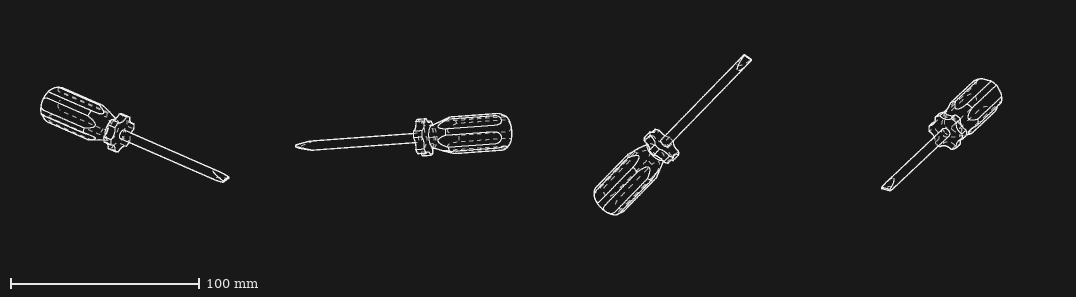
import cadquery as cq
import math

total_length = 120.0

handle_diameter = 19.9
handle_radius = handle_diameter / 2
butt_face_radius = handle_radius / 2
butt_round = handle_radius - butt_face_radius
handle_length = 50.0
collar_thickness = 4.8
taper_start = 31.7
neck_radius = 6.0
neck_fillet = 2.4
collar_start = handle_length - collar_thickness
neck_end = collar_start - neck_fillet

flute_count = 6
flute_radius = 5.0
flute_axis_distance = 13.1

shaft_radius = 2.5
tip_length = 8.5
tip_thickness = 1.0


def make_handle_blank():
    """Revolved handle: rounded butt, straight grip, tapered neck and collar."""
    diagonal = math.sqrt(0.5)
    butt_mid = (butt_round * (1 - diagonal), butt_face_radius + butt_round * diagonal)
    fillet_mid = (
        neck_end + neck_fillet * diagonal,
        neck_radius + neck_fillet * (1 - diagonal),
    )
    profile = (
        cq.Workplane("XY")
        .lineTo(0, butt_face_radius)
        .threePointArc(butt_mid, (butt_round, handle_radius))
        .lineTo(taper_start, handle_radius)
        .lineTo(neck_end, neck_radius)
        .threePointArc(fillet_mid, (collar_start, neck_radius + neck_fillet))
        .lineTo(collar_start, handle_radius)
        .lineTo(handle_length, handle_radius)
        .lineTo(handle_length, 0)
        .close()
    )
    return profile.revolve(360, (0, 0, 0), (1, 0, 0))


def make_handle():
    """Handle with lengthwise flutes, the first on top, running through grip and collar."""
    handle = make_handle_blank()
    flute = (
        cq.Workplane("YZ")
        .center(0, flute_axis_distance)
        .circle(flute_radius)
        .extrude(handle_length)
    )
    for index in range(flute_count):
        angle = index * 360 / flute_count
        handle = handle.cut(flute.rotate((0, 0, 0), (1, 0, 0), angle))
    return handle


def make_blade():
    """Round shaft butting against the collar, with two flats narrowing to a flat tip."""
    shaft = (
        cq.Workplane("YZ", origin=(handle_length, 0, 0))
        .circle(shaft_radius)
        .extrude(total_length - handle_length)
    )
    tip_start = total_length - tip_length
    wedge_outline = [
        (handle_length, -shaft_radius),
        (tip_start, -shaft_radius),
        (total_length, -tip_thickness / 2),
        (total_length, tip_thickness / 2),
        (tip_start, shaft_radius),
        (handle_length, shaft_radius),
    ]
    envelope = (
        cq.Workplane("XZ")
        .polyline(wedge_outline)
        .close()
        .extrude(shaft_radius, both=True)
    )
    return shaft.intersect(envelope)


handle = make_handle()
blade = make_blade()
result = cq.Compound.makeCompound([handle.val(), blade.val()])